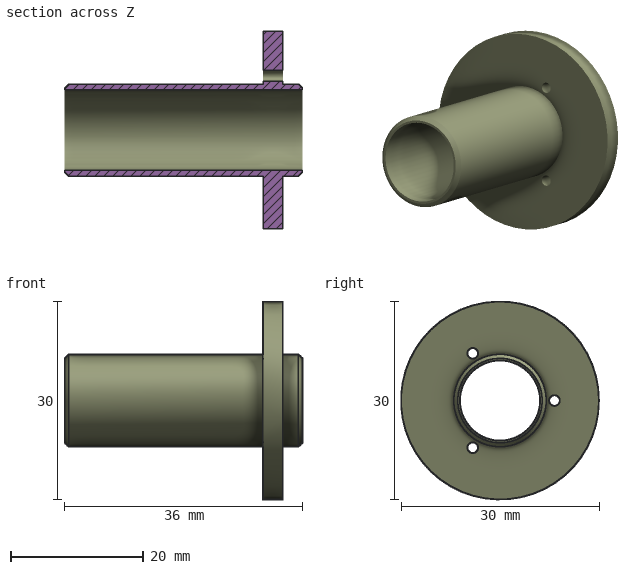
import cadquery as cq

tube_length = 36.0
tube_diameter = 14.0
bore_diameter = 12.1
end_chamfer = 0.6

flange_diameter = 30.0
flange_start = 30.0
flange_thickness = 3.02

hole_count = 3
hole_diameter = 1.6
hole_circle_radius = 8.25


def cylinder_along_x(diameter, start, length):
    return cq.Workplane("YZ").workplane(offset=start).circle(diameter / 2).extrude(length)


def flange_holes():
    return (
        cq.Workplane("YZ")
        .workplane(offset=flange_start)
        .polarArray(hole_circle_radius, 0, 360, hole_count)
        .circle(hole_diameter / 2)
        .extrude(flange_thickness)
    )


tube = cylinder_along_x(tube_diameter, 0, tube_length).edges("%CIRCLE").chamfer(end_chamfer)
flange = cylinder_along_x(flange_diameter, flange_start, flange_thickness)
bore = cylinder_along_x(bore_diameter, 0, tube_length)

result = tube.union(flange).cut(bore).cut(flange_holes())